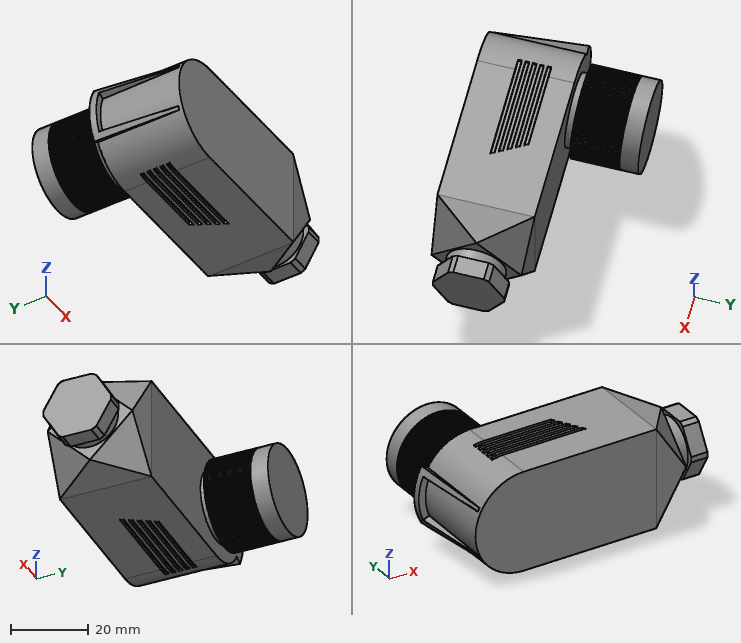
import cadquery as cq
import math


body_height = 29.5
body_radius = body_height / 2
body_depth = 26.0
body_back = body_depth / 2
body_front = -body_back
body_end_x = 40.6

nose_length = 9.8
nose_half_diagonal = 12.0
neck_diameter = 16.0
neck_length = 3.1
nut_length = 5.0
nut_across_flats = 17.4
nut_corner_diameter = 19.2

knob_neck_diameter = 20.0
knob_neck_length = 2.05
knob_diameter = 25.0
knurl_length = 13.2
knob_rim_length = 5.0
tooth_count = 120
tooth_depth = 0.3

clip_top_radius = 17.0
clip_tip_radius = 14.9
clip_half_angle = 30
clip_web_thickness = 2.05
clip_front_gap = 1.1
window_top_half_angle = 22.7
window_tip_half_angle = 25.9

slot_count = 5
slot_width = 1.0
slot_pitch = 2 * slot_width
slot_depth = 1.0
first_slot_y = -2.35
slot_left_x = -3.1
first_slot_right_x = 25.5
slot_end_tilt = 30


def y_plane(y):
    """XZ sketch plane at y, extruding towards +Y (local x = -X, local y = Z)."""
    return cq.Workplane(cq.Plane(origin=(0, y, 0), xDir=(-1, 0, 0), normal=(0, 1, 0)))


def x_plane(x):
    """YZ sketch plane at x, extruding towards +X (local x = Y, local y = Z)."""
    return cq.Workplane(cq.Plane(origin=(x, 0, 0), xDir=(0, 1, 0), normal=(1, 0, 0)))


def make_housing():
    return (
        y_plane(body_front)
        .moveTo(0, body_radius)
        .threePointArc((body_radius, 0), (0, -body_radius))
        .lineTo(-body_end_x, -body_radius)
        .lineTo(-body_end_x, body_radius)
        .close()
        .extrude(body_depth)
    )


def make_nose():
    """Triangular facets join the rectangular housing end to a smaller upright diamond."""
    tip_x = body_end_x + nose_length
    base = [
        cq.Vector(body_end_x, y, z)
        for y, z in [
            (body_back, body_radius),
            (body_front, body_radius),
            (body_front, -body_radius),
            (body_back, -body_radius),
        ]
    ]
    tip = [
        cq.Vector(tip_x, y * nose_half_diagonal, z * nose_half_diagonal)
        for y, z in [(0, 1), (-1, 0), (0, -1), (1, 0)]
    ]
    outlines = [base, tip]
    for i in range(4):
        following = (i + 1) % 4
        outlines.append([base[i], base[following], tip[i]])
        outlines.append([base[following], tip[following], tip[i]])
    faces = [cq.Face.makeFromWires(cq.Wire.makePolygon(points, close=True)) for points in outlines]
    return cq.Workplane(cq.Solid.makeSolid(cq.Shell.makeShell(faces)))


def make_cable_gland():
    neck_x = body_end_x + nose_length
    nut_x = neck_x + neck_length
    neck = x_plane(neck_x).circle(neck_diameter / 2).extrude(neck_length)
    across_corners = nut_across_flats / math.cos(math.radians(30))
    nut = x_plane(nut_x).polygon(6, across_corners).extrude(nut_length)
    trimmed_corners = x_plane(nut_x).circle(nut_corner_diameter / 2).extrude(nut_length)
    return neck.union(nut.intersect(trimmed_corners))


def make_knob():
    knurl_y = body_back + knob_neck_length
    rim_y = knurl_y + knurl_length
    peak_radius = knob_diameter / 2
    tooth_outline = []
    for i in range(2 * tooth_count):
        angle = math.pi * i / tooth_count
        radius = peak_radius - tooth_depth * (i % 2)
        tooth_outline.append((radius * math.cos(angle), radius * math.sin(angle)))
    neck = y_plane(body_back).circle(knob_neck_diameter / 2).extrude(knob_neck_length)
    knurl = y_plane(knurl_y).polyline(tooth_outline).close().extrude(knurl_length)
    rim = y_plane(rim_y).circle(peak_radius).extrude(knob_rim_length)
    return neck.union(knurl).union(rim)


def wedge_points(half_angle):
    """Triangle opening from the knob axis towards -X, reaching beyond the clip."""
    reach = 2 * clip_top_radius
    half_width = reach * math.tan(math.radians(half_angle))
    return [(0, 0), (reach, half_width), (reach, -half_width)]


def make_clip():
    """Conical sector with a window that leaves a web at the back and two tapering arms."""
    clip_front = body_front + clip_front_gap
    clip_length = body_back - clip_front
    window_length = clip_length - clip_web_thickness
    cone = (
        y_plane(clip_front)
        .circle(clip_tip_radius)
        .workplane(offset=clip_length)
        .circle(clip_top_radius)
        .loft()
    )
    sector = y_plane(clip_front).polyline(wedge_points(clip_half_angle)).close().extrude(clip_length)
    window = (
        y_plane(clip_front)
        .polyline(wedge_points(window_tip_half_angle))
        .close()
        .workplane(offset=window_length)
        .polyline(wedge_points(window_top_half_angle))
        .close()
        .loft(ruled=True)
    )
    return cone.intersect(sector).cut(window)


def make_slots():
    """Slots cut into the +Z face; their right ends lie on one slanted line."""
    slant = math.tan(math.radians(slot_end_tilt))
    slots = cq.Workplane("XY", origin=(0, 0, body_radius))
    for i in range(slot_count):
        low_y = first_slot_y - slot_width / 2 + i * slot_pitch
        high_y = low_y + slot_width
        low_right_x = first_slot_right_x - slant * i * slot_pitch
        high_right_x = low_right_x - slant * slot_width
        corners = [(slot_left_x, low_y), (low_right_x, low_y), (high_right_x, high_y), (slot_left_x, high_y)]
        slots = slots.polyline(corners).close()
    return slots.extrude(-slot_depth)


slots = make_slots()
result = (
    make_housing()
    .union(make_nose())
    .union(make_cable_gland())
    .union(make_knob())
    .union(make_clip())
    .cut(slots)
    .cut(slots.mirror("XY"))
)